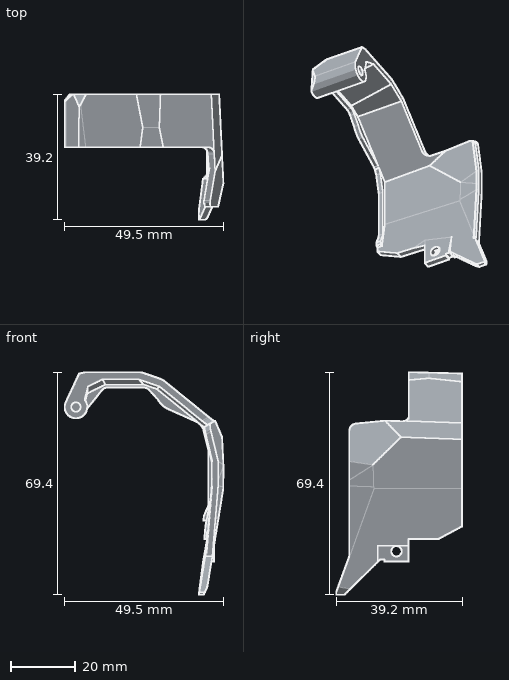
import cadquery as cq
import math


HEIGHT = 69.4
DEPTH = 39.2
LENGTH = 49.5
BIG = 138.75

ROOF_FRONT = -16.6
HINGE_RADIUS = 3.55
HINGE_X = HINGE_RADIUS
HINGE_Z = 58.5
BARREL_BOTTOM = HINGE_Z - HINGE_RADIUS
PIN_RADIUS = 1.45
PIN_DEPTH = 12.5
ARM_CLEAR_X = 13.9
ARM_TOP_X = 4.45
ARM_TOP_Z = 68.75
ROOF_REAR_Z = 68.95

WALL = 2.2
PANEL_REAR_X = 48.15
PANEL_FRONT = -35.1
RIDGE_Y = -27.75
RIDGE_TOP_Z = 40.5
KNEE_Z = 33.2
RIDGE_END_Z = 34.35
RIM_X = 47.8
RIM_TOP_Z = 41.6
RIM_MID_Z = 35.9
RIM_BULGE = 0.015
RIM_KNEE_Z = 34.0
RIM_END_Z = 12.1
RIM_END_X = 46.0
RIM_STEP = 0.3
RIM_STEP_WIDTH = 0.9
RIM_STEP_END_Z = 13.2
SHOULDER_X = 46.8
SHOULDER_Z = 54.25
CORNER_RADIUS = 2.1

FLANGE_THICKNESS = 1.5
FLANGE_END_Z = 23.1

TAB_REAR = -16.65
TAB_FRONT = -26.3
TAB_INNER_X = 44.25
TAB_OUTER_X = 46.55
TAB_BOTTOM = 10.35
TAB_TOP = 15.25
RECESS_TOP = 20.8
PANEL_BOTTOM = 17.35
TAB_HOLE_RADIUS = 1.6
TAB_HOLE_Y = -20.4
TAB_HOLE_Z = 13.6

INSIDE_POINT = cq.Vector(27.75, -13.9, 34.7)


def beyond(points):
    """Everything on the far side of the plane through three points, seen from INSIDE_POINT."""
    a, b, c = (cq.Vector(*p) for p in points)
    normal = (b - a).cross(c - a)
    if normal.dot(INSIDE_POINT - a) > 0:
        normal = normal * -1
    plane = cq.Plane(origin=a, normal=normal)
    return cq.Workplane(plane).rect(4 * BIG, 4 * BIG).extrude(2 * BIG)


def convex_body(facets):
    """A large block cut down by each facet plane in turn."""
    body = cq.Workplane("XY").box(2 * BIG, 2 * BIG, 2 * BIG)
    for points in facets:
        body = body.cut(beyond(points))
    return body


def block(x_range, y_range, z_range):
    (x0, x1), (y0, y1), (z0, z1) = x_range, y_range, z_range
    return cq.Workplane("XY").box(x1 - x0, y1 - y0, z1 - z0, centered=False).translate((x0, y0, z0))


def side_facets(inset):
    """Side panel facets, moved inwards along X by the inset."""
    ridge_top = (LENGTH, RIDGE_Y, RIDGE_TOP_Z)
    ridge_knee = (LENGTH, RIDGE_Y, KNEE_Z)
    rim_top = (RIM_X, PANEL_FRONT, RIM_TOP_Z)
    rim_knee = (RIM_X, PANEL_FRONT, RIM_KNEE_Z)
    rim_mid = (RIM_X + RIM_BULGE, PANEL_FRONT, RIM_MID_Z)
    ridge_end = (LENGTH, RIDGE_Y, RIDGE_END_Z)
    rear_knee = (PANEL_REAR_X, 0, KNEE_Z)
    facets = [
        (ridge_top, ridge_knee, rear_knee),
        (ridge_knee, rear_knee, (43.5, RIDGE_Y, 0)),
        (ridge_top, rim_top, (45.4, PANEL_FRONT, 51.7)),
        (ridge_top, rim_top, rim_mid),
        (ridge_top, rim_mid, rim_knee),
        (ridge_end, rim_knee, (RIM_END_X, PANEL_FRONT, RIM_END_Z)),
    ]
    return [[(x - inset, y, z) for x, y, z in points] for points in facets]


corner_dx = ARM_TOP_X - HINGE_X
corner_dz = ARM_TOP_Z - HINGE_Z
tangent_angle = math.atan2(corner_dz, corner_dx) + math.acos(HINGE_RADIUS / math.hypot(corner_dx, corner_dz))
tangent_x = HINGE_X + HINGE_RADIUS * math.cos(tangent_angle)
tangent_z = HINGE_Z + HINGE_RADIUS * math.sin(tangent_angle)

roof_rear_left = (6.7, 0, ROOF_REAR_Z)
roof_rear_right = (22.35, 0, ROOF_REAR_Z)
roof_front_right = (23.5, ROOF_FRONT, HEIGHT)
bend_left = (24.3, -10.4, 69.25)
bend_right = (29.5, -10.4, 67.45)
slope_front_top = (30.75, ROOF_FRONT, 66.9)
slope_front_end = (44.75, ROOF_FRONT, 55.5)
outer_facets = side_facets(0) + [
    (roof_rear_left, roof_rear_right, roof_front_right),
    (roof_rear_right, bend_left, bend_right),
    (bend_left, bend_right, slope_front_top),
    (bend_right, slope_front_top, slope_front_end),
    ((SHOULDER_X, -23.4, SHOULDER_Z), (49.0, -19.0, 49.25), (45.65, 0, 53.55)),
    ((tangent_x, 0, tangent_z), (tangent_x, ROOF_FRONT, tangent_z), (ARM_TOP_X, 0, ARM_TOP_Z)),
    ((ARM_TOP_X, ROOF_FRONT, ARM_TOP_Z), (6.5, ROOF_FRONT, HEIGHT), (ARM_TOP_X, -3.75, 68.9)),
    ((0, 0, 0), (1, 0, 0), (0, 0, 1)),
]
outer = convex_body(outer_facets)

ceiling_left = (11.8, ROOF_FRONT, 67.1)
ceiling_right = (23.1, ROOF_FRONT, 67.1)
under_slope_top = (29.55, ROOF_FRONT, 64.9)
arm_inner_top = (7.3, ROOF_FRONT, 64.9)
cavity_roof = [
    (ceiling_left, ceiling_right, (12.7, -FLANGE_THICKNESS, 65.5)),
    (ceiling_right, under_slope_top, (25.8, -FLANGE_THICKNESS, 65.1)),
    (under_slope_top, (44.4, ROOF_FRONT, 52.9), (28.5, -FLANGE_THICKNESS, 64.25)),
    (arm_inner_top, ceiling_left, (12.7, -FLANGE_THICKNESS, 65.5)),
    (arm_inner_top, (6.25, ROOF_FRONT, 60.7), (7.1, -FLANGE_THICKNESS, 62.8)),
]
shell = outer.cut(convex_body(side_facets(WALL) + cavity_roof))

opening = (
    cq.Workplane("XZ")
    .moveTo(HINGE_X, BARREL_BOTTOM)
    .lineTo(7.1, 58.0)
    .lineTo(11.6, 63.6)
    .threePointArc((12.3, 64.25), (13.1, 64.5))
    .lineTo(24.35, 64.5)
    .threePointArc((25.5, 64.3), (26.4, 63.6))
    .lineTo(28.9, 60.9)
    .threePointArc((30.1, 59.3), (31.85, 58.0))
    .lineTo(42.05, 53.4)
    .lineTo(43.1, 51.7)
    .lineTo(44.7, 45.25)
    .lineTo(44.7, 28.45)
    .threePointArc((44.6, 27.6), (44.25, 26.8))
    .lineTo(43.3, 24.5)
    .lineTo(43.2, 23.65)
    .lineTo(43.2, FLANGE_END_Z)
    .lineTo(BIG, FLANGE_END_Z)
    .lineTo(BIG, -BIG)
    .lineTo(-BIG, -BIG)
    .lineTo(-BIG, BARREL_BOTTOM)
    .close()
    .extrude(FLANGE_THICKNESS)
)
slab = block((-BIG, BIG), (-FLANGE_THICKNESS, 0), (-BIG, BIG))
flange = outer.intersect(slab).cut(opening)
body = shell.union(flange)

below_arm = [
    (HINGE_X, HINGE_Z),
    (HINGE_X + BIG * math.cos(tangent_angle), HINGE_Z + BIG * math.sin(tangent_angle)),
    (-BIG, -BIG),
    (ARM_CLEAR_X, -BIG),
    (ARM_CLEAR_X, BARREL_BOTTOM),
    (HINGE_X + HINGE_RADIUS, BARREL_BOTTOM),
    (HINGE_X + HINGE_RADIUS, HINGE_Z),
]
body = body.cut(cq.Workplane("XZ").polyline(below_arm).close().extrude(BIG, both=True))
hinge_face = cq.Workplane("XZ").center(HINGE_X, HINGE_Z)
body = body.union(hinge_face.circle(HINGE_RADIUS).extrude(-ROOF_FRONT))
pin_hole = cq.Workplane("XZ", origin=(HINGE_X, ROOF_FRONT + PIN_DEPTH, HINGE_Z)).circle(PIN_RADIUS)
body = body.cut(pin_hole.extrude(PIN_DEPTH))

arm_rear = (2.65, 0, 65.1)
body = body.cut(beyond([arm_rear, roof_rear_left, (4.5, -3.75, 68.8)]))
body = body.cut(beyond([arm_rear, (1.65, 0, 55.5), (0, -2.3, HINGE_Z)]))

step_zone = block((-BIG, BIG), (-BIG, PANEL_FRONT + RIM_STEP_WIDTH), (RIM_STEP_END_Z, BIG))
body = body.cut(convex_body(side_facets(WALL - RIM_STEP)).intersect(step_zone))

tab = block((TAB_INNER_X, TAB_OUTER_X), (TAB_FRONT, TAB_REAR), (TAB_BOTTOM, TAB_TOP))
recess_outline = [
    (0, TAB_FRONT),
    (TAB_INNER_X, TAB_FRONT),
    (TAB_INNER_X, TAB_REAR),
    (43.2, -9.7),
    (0, -9.7),
]
recess = cq.Workplane("XY").polyline(recess_outline).close().extrude(RECESS_TOP)
recess_corner = (TAB_INNER_X, TAB_FRONT, 17.15)
recess = recess.cut(beyond([recess_corner, (43.35, TAB_FRONT, 11.4), (TAB_INNER_X, -25.25, 11.4)]))
body = body.union(tab).cut(recess)
tab_hole = cq.Workplane("YZ").center(TAB_HOLE_Y, TAB_HOLE_Z).circle(TAB_HOLE_RADIUS)
body = body.cut(tab_hole.extrude(BIG))

outline = [
    (0, BIG),
    (0, 21.3),
    (-7.4, PANEL_BOTTOM),
    (TAB_REAR, PANEL_BOTTOM),
    (TAB_REAR, TAB_BOTTOM),
    (-24.15, TAB_BOTTOM),
    (-24.15, 10.95),
    (-25.5, 10.95),
    (-36.6, 0),
    (-DEPTH, 0),
    (-DEPTH, 0.9),
    (PANEL_FRONT, RIM_END_Z),
    (PANEL_FRONT, BIG),
]
body = body.intersect(cq.Workplane("YZ").polyline(outline).close().extrude(BIG, both=True))

notch_plane = cq.Plane(origin=(SHOULDER_X, 0, SHOULDER_Z), xDir=(0, 1, 0), normal=(1, 0, 0.6))
blend = CORNER_RADIUS * (1 - math.sqrt(0.5))
notch = (
    cq.Workplane(notch_plane)
    .moveTo(ROOF_FRONT, BIG)
    .lineTo(ROOF_FRONT, CORNER_RADIUS)
    .threePointArc((ROOF_FRONT - blend, blend), (ROOF_FRONT - CORNER_RADIUS, 0))
    .lineTo(PANEL_FRONT + CORNER_RADIUS, 0)
    .threePointArc((PANEL_FRONT + blend, -blend), (PANEL_FRONT, -CORNER_RADIUS))
    .lineTo(-BIG, -CORNER_RADIUS)
    .lineTo(-BIG, BIG)
    .close()
    .extrude(BIG, both=True)
)
body = body.cut(notch)

result = body.cut(beyond([(44.55, 0, 2.7), (44.55, -DEPTH, 2.7), (43.3, 0, 0)]))